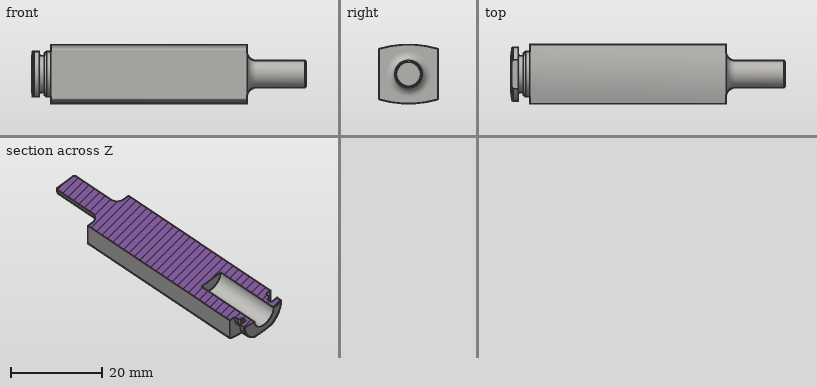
import cadquery as cq
import math

OVERALL_LENGTH = 60.2
BODY_LENGTH = 43.0
STEM_LENGTH = 13.0
BODY_START = OVERALL_LENGTH - BODY_LENGTH - STEM_LENGTH
BODY_END = BODY_START + BODY_LENGTH

BODY_WIDTH = 13.0
BODY_HEIGHT = 13.0
CROWN_RADIUS = 22.5
BODY_EDGE_FILLET = 0.3

COLLAR_RADIUS = 5.92
COLLAR_LENGTH = 1.7
COLLAR_FLAT_WIDTH = 10.0
COLLAR_FRONT_RADIUS = 3.6
COLLAR_CONE_LENGTH = 0.3
COLLAR_RIM_CHAMFER_LENGTH = 0.27
COLLAR_RIM_CHAMFER_DEPTH = 0.17

NECK_RADIUS = 8.1 / 2
NECK_ROOT_FILLET = 0.3

SEAT_RADIUS = 10.0 / 2
SEAT_LENGTH = 1.4
SEAT_CHAMFER_LENGTH = 0.5
SEAT_CHAMFER_DEPTH = 0.4
SEAT_START = BODY_START - SEAT_LENGTH

TUBE_DIAMETER = 6.0
BORE_DEPTH = 16.0

STEM_ROOT_FILLET = 2.0
STEM_TIP_CHAMFER = 0.35


def cylinder_along_x(start, length, radius):
    return cq.Workplane("YZ", origin=(start, 0, 0)).circle(radius).extrude(length)


def revolve_about_x(profile):
    return profile.close().revolve(360, (0, 0, 0), (1, 0, 0))


def make_body():
    half_width = BODY_WIDTH / 2
    half_height = BODY_HEIGHT / 2
    crown_rise = CROWN_RADIUS - math.sqrt(CROWN_RADIUS**2 - half_width**2)
    side_half_height = half_height - crown_rise
    profile = (
        cq.Workplane("YZ", origin=(BODY_START, 0, 0))
        .moveTo(-half_width, -side_half_height)
        .threePointArc((0, -half_height), (half_width, -side_half_height))
        .lineTo(half_width, side_half_height)
        .threePointArc((0, half_height), (-half_width, side_half_height))
        .close()
    )
    return profile.extrude(BODY_LENGTH).edges("|X").fillet(BODY_EDGE_FILLET)


def make_root_flare(start, neck_radius, root_fillet):
    """Neck root whose concave fillet starts wide at `start` and runs out along +X."""
    arc_offset = root_fillet * (1 - math.sqrt(0.5))
    profile = (
        cq.Workplane("XY")
        .moveTo(start, 0)
        .lineTo(start, neck_radius + root_fillet)
        .threePointArc(
            (start + arc_offset, neck_radius + arc_offset),
            (start + root_fillet, neck_radius),
        )
        .lineTo(start + root_fillet, 0)
    )
    return revolve_about_x(profile)


def make_collar():
    profile = (
        cq.Workplane("XY")
        .lineTo(0, COLLAR_FRONT_RADIUS)
        .lineTo(COLLAR_CONE_LENGTH, COLLAR_RADIUS - COLLAR_RIM_CHAMFER_DEPTH)
        .lineTo(COLLAR_CONE_LENGTH + COLLAR_RIM_CHAMFER_LENGTH, COLLAR_RADIUS)
        .lineTo(COLLAR_LENGTH, COLLAR_RADIUS)
        .lineTo(COLLAR_LENGTH, 0)
    )
    flats = cq.Workplane("XY").box(
        COLLAR_LENGTH, 2 * COLLAR_RADIUS, COLLAR_FLAT_WIDTH, centered=(False, True, True)
    )
    return revolve_about_x(profile).intersect(flats)


def make_neck():
    root = make_root_flare(COLLAR_LENGTH, NECK_RADIUS, NECK_ROOT_FILLET)
    shank_start = COLLAR_LENGTH + NECK_ROOT_FILLET
    shank = cylinder_along_x(shank_start, SEAT_START - shank_start, NECK_RADIUS)
    return root.union(shank)


def make_seat_ring():
    chamfer_end = SEAT_START + SEAT_CHAMFER_LENGTH
    profile = (
        cq.Workplane("XY")
        .moveTo(SEAT_START, 0)
        .lineTo(SEAT_START, SEAT_RADIUS - SEAT_CHAMFER_DEPTH)
        .lineTo(chamfer_end, SEAT_RADIUS)
        .lineTo(BODY_START, SEAT_RADIUS)
        .lineTo(BODY_START, 0)
    )
    return revolve_about_x(profile)


def make_stem():
    radius = TUBE_DIAMETER / 2
    root = make_root_flare(BODY_END, radius, STEM_ROOT_FILLET)
    shank = cylinder_along_x(
        BODY_END + STEM_ROOT_FILLET, STEM_LENGTH - STEM_ROOT_FILLET, radius
    )
    shank = shank.faces(">X").chamfer(STEM_TIP_CHAMFER)
    return root.union(shank)


def make_bore():
    return cylinder_along_x(0, BORE_DEPTH, TUBE_DIAMETER / 2)


result = (
    make_body()
    .union(make_seat_ring())
    .union(make_neck())
    .union(make_collar())
    .union(make_stem())
    .cut(make_bore())
)